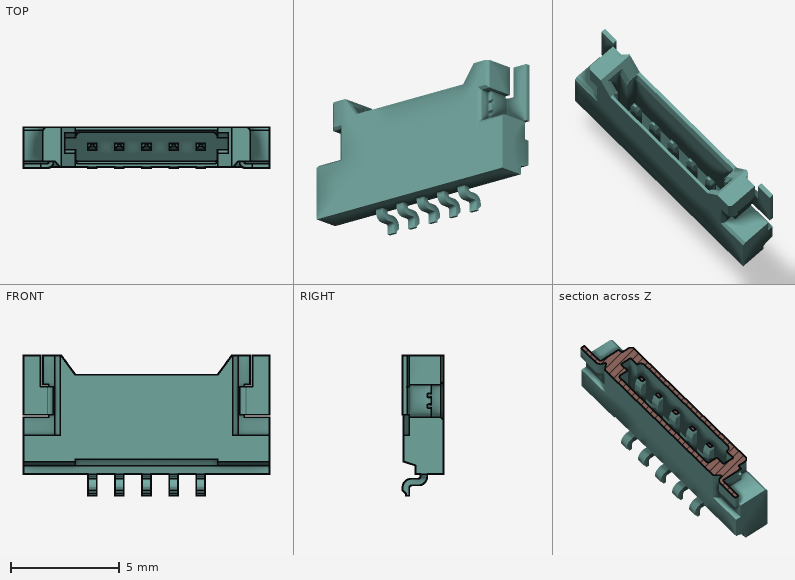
import cadquery as cq
import math


length = 11.4
half_length = length / 2
depth = 1.86
height = 5.5
front = -depth
margin = 0.57

rim_height = 4.6
slope_top_x = 3.95
slope_foot_x = 3.3
slope_ratio = (height - rim_height) / (slope_top_x - slope_foot_x)

shoulder_x = 4.8
gap_bottom = 2.65
gap_roof = 4.15
gap_chamfer_side = 0.13
gap_chamfer_depth = 0.14

recess_floor_y = -1.58
recess_inner_x = 4.0
recess_floor_x = 4.24
recess_bottom = 1.79

undercut_y = -1.3
undercut_height = 0.4
undercut_end_height = 0.58
middle_relief_height = 0.7
middle_relief_run = 0.15

cavity_half_length = 3.28
cavity_back = -0.24
cavity_front = -1.58
cavity_floor = 1.03
cavity_back_radius = 0.23
cavity_front_radius = 0.1
lead_in_depth = 0.39
lead_in_width = 0.1
lead_in_back_radius = 0.09

slot_half_length = 3.77
slot_back = -0.49
slot_front = -1.05
slot_back_lead_in = 0.22
slot_front_lead_in = 0.17
slot_lead_in_depth = 0.36

tab_front = -1.9
tab_thickness = 0.22
tab_inner_radius = 0.07
tab_outer_radius = tab_inner_radius + tab_thickness
tab_arm_x = 4.9
tab_leg_x = 4.53
gap_wall_x = tab_leg_x - tab_thickness
tab_bend_x = tab_leg_x + tab_inner_radius
tab_bend_y = tab_front + tab_outer_radius
tab_bottom = 2.75
tab_step = 4.05
leg_end_y = -0.58
barb_y = -0.66
barb_radius = 0.1
barb_heights = (3.15, 3.65)

pin_count = 5
pin_pitch = 1.25
pin_width = 0.42
pin_thickness = 0.32
pin_back = -0.75
pin_front = pin_back - pin_thickness
pin_inner_radius = 0.1
pin_outer_radius = pin_inner_radius + pin_thickness
foot_top = -0.2
foot_bottom = foot_top - pin_thickness
foot_back = -1.58
foot_front = foot_back - pin_thickness
foot_end = -1.0
foot_chamfer = 0.16
foot_toe_height = 0.09
pin_shoulder_height = 3.01
pin_taper_height = 3.3
pin_tip_height = 3.58
pin_taper_thickness = 0.24
pin_tip_width = 0.14
pin_tip_thickness = 0.09
pin_tip_back = -0.79


def box(x_min, x_max, y_min, y_max, z_min, z_max):
    return cq.Workplane("XY").box(
        x_max - x_min, y_max - y_min, z_max - z_min, centered=False
    ).translate((x_min, y_min, z_min))


def side_prism(points, x_min, x_max):
    """Prism along X from an outline of (y, z) points."""
    return cq.Workplane("YZ", origin=(x_min, 0, 0)).polyline(points).close().extrude(x_max - x_min)


def both_ends(solid):
    """The right-hand solid together with its mirror image."""
    return solid.union(solid.mirror("YZ"))


def rectangle_wire(x_min, x_max, y_min, y_max, z):
    corners = [(x_min, y_min, z), (x_max, y_min, z), (x_max, y_max, z), (x_min, y_max, z)]
    return cq.Wire.makePolygon([cq.Vector(*corner) for corner in corners], close=True)


def rim_cutter():
    top = height + margin
    top_x = slope_top_x + margin / slope_ratio
    outline = [(-top_x, top), (-slope_foot_x, rim_height), (slope_foot_x, rim_height), (top_x, top)]
    return cq.Workplane("XZ", origin=(0, margin, 0)).polyline(outline).close().extrude(depth + 2 * margin)


def end_gap_wire(growth, y):
    outer = half_length + margin
    top = height + margin
    outline = [
        (outer, gap_bottom - growth),
        (gap_wall_x - growth, gap_bottom - growth),
        (gap_wall_x - growth, gap_roof + growth),
        (shoulder_x - growth, gap_roof + growth),
        (shoulder_x - growth, top),
        (outer, top),
    ]
    return cq.Wire.makePolygon([cq.Vector(x, y, z) for x, z in outline], close=True)


def end_gap():
    """Stepped gap through the depth, flared where it meets the back face."""
    straight_wire = end_gap_wire(0, -gap_chamfer_depth)
    straight = cq.Solid.extrudeLinear(straight_wire, [], cq.Vector(0, -depth, 0))
    flare = cq.Solid.makeLoft([straight_wire, end_gap_wire(gap_chamfer_side, 0)], True)
    return cq.Workplane(straight).union(cq.Workplane(flare))


def front_recess():
    outer = half_length + margin
    outline = [
        (recess_inner_x, front),
        (recess_floor_x, recess_floor_y),
        (outer, recess_floor_y),
        (outer, front),
    ]
    plane = cq.Workplane("XY", origin=(0, 0, recess_bottom))
    return plane.polyline(outline).close().extrude(height)


def undercut():
    """Relief along the whole lower front edge, with a sloping roof."""
    outline = [
        (undercut_y, -margin),
        (undercut_y, undercut_height),
        (front, undercut_end_height),
        (front - margin, undercut_end_height),
        (front - margin, -margin),
    ]
    return side_prism(outline, -half_length - margin, half_length + margin)


def middle_relief():
    """Deeper relief with a steep back, between the feet of the rim slopes."""
    outline = [
        (undercut_y, undercut_height),
        (undercut_y - middle_relief_run, middle_relief_height),
        (front, middle_relief_height),
        (front, undercut_height),
    ]
    return side_prism(outline, -slope_foot_x, slope_foot_x)


def cavity_wire(back_y, back_radius, front_y, z):
    """Cavity outline with separate corner radii at the back and the front."""
    x = cavity_half_length
    r = back_radius
    f = cavity_front_radius
    return (
        cq.Workplane("XY", origin=(0, 0, z))
        .moveTo(-x + f, front_y)
        .lineTo(x - f, front_y)
        .radiusArc((x, front_y + f), -f)
        .lineTo(x, back_y - r)
        .radiusArc((x - r, back_y), -r)
        .lineTo(-x + r, back_y)
        .radiusArc((-x, back_y - r), -r)
        .lineTo(-x, front_y + f)
        .radiusArc((-x + f, front_y), -f)
        .wire()
        .val()
    )


def cavity():
    floor = cavity_wire(cavity_back, cavity_back_radius, cavity_front, cavity_floor)
    lead_in_z = rim_height - lead_in_depth
    well = cq.Solid.extrudeLinear(floor, [], cq.Vector(0, 0, lead_in_z - cavity_floor))
    lead_in_foot = cavity_wire(cavity_back, cavity_back_radius, cavity_front, lead_in_z)
    rim = cavity_wire(
        cavity_back + lead_in_width, lead_in_back_radius, cavity_front - lead_in_width, rim_height
    )
    lead_in = cq.Solid.makeLoft([lead_in_foot, rim], True)
    return cq.Workplane(well).union(cq.Workplane(lead_in))


def keying_slot():
    """End slot whose lead-in follows the sloping rim."""
    body = box(0, slot_half_length, slot_front, slot_back, cavity_floor, height)
    slope_z = rim_height + (slot_half_length - slope_foot_x) * slope_ratio
    foot_z = slope_z - slot_lead_in_depth
    lead_in_section = [
        (slot_front, foot_z),
        (slot_back, foot_z),
        (slot_back + slot_back_lead_in, slope_z),
        (slot_front - slot_front_lead_in, slope_z),
    ]
    wire = cq.Wire.makePolygon(
        [cq.Vector(slot_half_length, y, z) for y, z in lead_in_section], close=True
    )
    run = slot_half_length - cavity_half_length
    lead_in = cq.Solid.extrudeLinear(wire, [], cq.Vector(-run, 0, -run * slope_ratio))
    return body.union(cq.Workplane(lead_in))


def solder_tab():
    """Flat tab bent back into a leg that runs along the gap wall."""
    plate_back = tab_front + tab_thickness
    diagonal = math.sqrt(0.5)
    bent = (
        cq.Workplane("XY", origin=(0, 0, tab_bottom))
        .moveTo(half_length, tab_front)
        .lineTo(tab_bend_x, tab_front)
        .threePointArc(
            (tab_bend_x - tab_outer_radius * diagonal, tab_bend_y - tab_outer_radius * diagonal),
            (gap_wall_x, tab_bend_y),
        )
        .lineTo(gap_wall_x, leg_end_y)
        .lineTo(tab_leg_x, leg_end_y)
        .lineTo(tab_leg_x, tab_bend_y)
        .threePointArc(
            (tab_bend_x - tab_inner_radius * diagonal, tab_bend_y - tab_inner_radius * diagonal),
            (tab_bend_x, plate_back),
        )
        .lineTo(half_length, plate_back)
        .close()
        .extrude(tab_step - tab_bottom)
    )
    arm = box(tab_arm_x, half_length, tab_front, plate_back, tab_bottom, height)
    leg = box(gap_wall_x, tab_leg_x, recess_floor_y, leg_end_y, gap_bottom, gap_roof)
    barbs = (
        cq.Workplane("YZ", origin=(gap_wall_x, 0, 0))
        .pushPoints([(barb_y, z) for z in barb_heights])
        .circle(barb_radius)
        .extrude(tab_leg_x - gap_wall_x)
    )
    return bent.union(arm).union(leg).cut(barbs)


def pin():
    """S-bent pin with a chamfered solder foot and a tapered tip."""
    toe_y = foot_front + foot_chamfer
    toe_z = foot_end + foot_toe_height
    stem = (
        cq.Workplane("YZ", origin=(-pin_width / 2, 0, 0))
        .moveTo(pin_back, pin_shoulder_height)
        .lineTo(pin_back, foot_bottom + pin_outer_radius)
        .radiusArc((pin_back - pin_outer_radius, foot_bottom), pin_outer_radius)
        .lineTo(foot_back + pin_inner_radius, foot_bottom)
        .radiusArc((foot_back, foot_bottom - pin_inner_radius), -pin_inner_radius)
        .lineTo(foot_back, foot_end)
        .lineTo(toe_y, foot_end)
        .lineTo(toe_y, toe_z)
        .lineTo(foot_front, toe_z + foot_chamfer)
        .lineTo(foot_front, foot_top - pin_outer_radius)
        .radiusArc((foot_front + pin_outer_radius, foot_top), pin_outer_radius)
        .lineTo(pin_front - pin_inner_radius, foot_top)
        .radiusArc((pin_front, foot_top + pin_inner_radius), -pin_inner_radius)
        .lineTo(pin_front, pin_shoulder_height)
        .close()
        .extrude(pin_width)
    )
    half = pin_width / 2
    half_tip = pin_tip_width / 2
    shoulder = rectangle_wire(-half, half, pin_front, pin_back, pin_shoulder_height)
    taper = rectangle_wire(-half, half, pin_back - pin_taper_thickness, pin_back, pin_taper_height)
    tip = rectangle_wire(
        -half_tip, half_tip, pin_tip_back - pin_tip_thickness, pin_tip_back, pin_tip_height
    )
    lower_taper = cq.Workplane(cq.Solid.makeLoft([shoulder, taper], True))
    upper_taper = cq.Workplane(cq.Solid.makeLoft([taper, tip], True))
    return stem.union(lower_taper).union(upper_taper)


housing = box(-half_length, half_length, front, 0, 0, height)
housing = housing.cut(rim_cutter())
housing = housing.cut(both_ends(end_gap()))
housing = housing.cut(both_ends(front_recess()))
housing = housing.cut(undercut())
housing = housing.cut(middle_relief())
housing = housing.cut(cavity())
housing = housing.cut(both_ends(keying_slot()))

result = housing.union(both_ends(solder_tab()))
for index in range(pin_count):
    pin_x = (index - (pin_count - 1) / 2) * pin_pitch
    result = result.union(pin().translate((pin_x, 0, 0)))